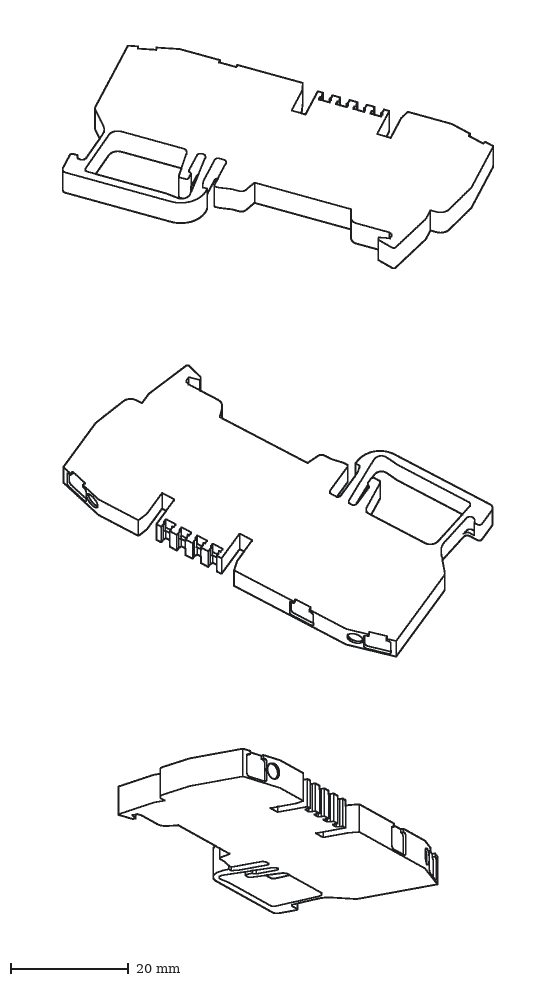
import cadquery as cq
import math

LENGTH = 66.6
HEIGHT = 34.2
THICKNESS = 5.0

SHOULDER_RUN = 8.5
SHOULDER_DROP = 2.4
SHOULDER_Y = HEIGHT - SHOULDER_DROP
SHOULDER_ANGLE = math.degrees(math.atan2(SHOULDER_DROP, SHOULDER_RUN))

COMB_LEFT = 34.0
COMB_RIGHT = 47.1
COMB_TOP = 33.3
COMB_SLOT_FLOOR = 27.45
SLOT_LEFT = 31.5
SLOT_RIGHT = 49.55
SLOT_FLARE = 0.5
SLOT_FLARE_Y = 32.4
GAP_COUNT = 4
GAP_PITCH = 3.1
GAP_WIDTH = 1.65
GAP_FLOOR_WIDTH = 1.25
GAP_CHAMFER = 0.5
GAP_FLOOR = 32.2
LEDGE_WIDTH = 2
LEDGE_FLOOR = 31.6
LEDGE_TOP = 32.25
LEDGE_DEPTH = 2.65

POCKET_LENGTH = 4.8
POCKET_DEPTH = 0.5
POCKET_BOTTOM = 0.3
POCKET_TOP = 4.4
POCKET_CORNER = 0.6
POCKET_MOUTH = 3.1
POCKET_FROM_END = 3.2
FLAT_POCKET_X = 17.45

DIMPLE_DIAMETER = 2.8
DIMPLE_FROM_END = 7.0
DIMPLE_DEPTH = 0.4
DIMPLE_Z = 2.65

FOOT_TOP = 4.6
WINDOW_TOP = 12.45
WINDOW_FLOOR = 1.5
FOOT_ROUND = 4.65
FOOT_RIGHT = 24.7
CLIP_TIP = 5.05
CLIP_SLOT_LEFT = 23.45
CLIP_SLOT_RIGHT = 25.5
FINGER_TIP = 5.85
FINGER_RIGHT = 20.25
FINGER_BARB = 20.85
FINGER_ROUND = 0.4
STRUT_TOP_X = 3.6
STRUT_FOOT_X = 2.85
RELIEF_RADIUS = 0.8
RELIEF_X = STRUT_FOOT_X - RELIEF_RADIUS
WEB_THICKNESS = 1.0
WEB_RADIUS = 0.8

RAIL_SEAT = 6.45
RAIL_RECESS = 9.25
RECESS_LEFT = 31.7
RECESS_RIGHT = 49.3
RECESS_SLANT = 1.0
LAND_BOTTOM = 6
HOOK_TIP = 56.1
HOOK_THROAT = 57.95
HOOK_BACK = 62.0
END_FLOOR = 13.85


def rounded_plate(corners, thickness):
    """Extrude a closed outline of (x, y, radius) corners upwards from Z = 0."""
    points = [cq.Vector(x, y) for x, y, _ in corners]
    path = None
    for i, (_, _, radius) in enumerate(corners):
        corner = points[i]
        to_last = (points[i - 1] - corner).normalized()
        to_next = (points[(i + 1) % len(points)] - corner).normalized()
        stops = [corner]
        if radius > 0:
            half_angle = to_last.getAngle(to_next) / 2
            setback = radius / math.tan(half_angle)
            bisector = (to_last + to_next).normalized()
            middle = corner + bisector * (radius / math.sin(half_angle) - radius)
            stops = [corner + to_last * setback, middle, corner + to_next * setback]
        if path is None:
            path = cq.Workplane("XY").moveTo(stops[0].x, stops[0].y)
        else:
            path = path.lineTo(stops[0].x, stops[0].y)
        if radius > 0:
            path = path.threePointArc(stops[1].toTuple()[:2], stops[2].toTuple()[:2])
    return path.close().extrude(thickness)


def body(strut_radius, thickness):
    """Plate from its outer outline, anticlockwise from the foot's lower left corner."""
    return rounded_plate([
        (0, 0, 0.85),
        (FOOT_RIGHT, 0, FOOT_ROUND),
        (FOOT_RIGHT, CLIP_TIP, 0),
        (23.85, CLIP_TIP, 0),
        (CLIP_SLOT_LEFT, 6.4, 0),
        (CLIP_SLOT_LEFT, WINDOW_TOP, 0.6),
        (CLIP_SLOT_RIGHT, WINDOW_TOP, 0.6),
        (CLIP_SLOT_RIGHT, LAND_BOTTOM, 0.3),
        (26.45, LAND_BOTTOM, 0),
        (28.7, RAIL_SEAT, 0),
        (RECESS_LEFT - RECESS_SLANT, RAIL_SEAT, 1.0),
        (RECESS_LEFT, RAIL_RECESS, 0),
        (RECESS_RIGHT, RAIL_RECESS, 0),
        (RECESS_RIGHT + RECESS_SLANT, RAIL_SEAT, 1.5),
        (57.3, RAIL_SEAT, 0),
        (HOOK_THROAT, 6.1, 0),
        (HOOK_THROAT, 5.2, 0),
        (HOOK_TIP, 4.7, 0),
        (HOOK_TIP, 4.2, 0.3),
        (59.5, 3.1, 0.4),
        (HOOK_BACK, 11.65, 0),
        (HOOK_BACK, END_FLOOR, 0),
        (64.55, END_FLOOR, 1.85),
        (LENGTH, 21.4, 0),
        (LENGTH, SHOULDER_Y, 0),
        (LENGTH - SHOULDER_RUN, HEIGHT, 0),
        (SLOT_RIGHT + SLOT_FLARE, HEIGHT, 0),
        (SLOT_RIGHT, SLOT_FLARE_Y, 0),
        (SLOT_RIGHT, COMB_SLOT_FLOOR, 0),
        (COMB_RIGHT, COMB_SLOT_FLOOR, 0),
        (COMB_RIGHT, COMB_TOP, 0),
        (COMB_LEFT, COMB_TOP, 0),
        (COMB_LEFT, COMB_SLOT_FLOOR, 0),
        (SLOT_LEFT, COMB_SLOT_FLOOR, 0),
        (SLOT_LEFT, SLOT_FLARE_Y, 0),
        (SLOT_LEFT - SLOT_FLARE, HEIGHT, 0),
        (SHOULDER_RUN, HEIGHT, 0),
        (0, SHOULDER_Y, 0),
        (0, 16, 1.0),
        (STRUT_TOP_X, 11.8, 2.8),
        (STRUT_FOOT_X, FOOT_TOP, strut_radius),
        (0, FOOT_TOP, 0.5),
    ], thickness)


def window():
    """Opening in the foot, including the narrow slot behind the spring finger."""
    return rounded_plate([
        (3.6, WINDOW_FLOOR, 0.6),
        (18.5, WINDOW_FLOOR, 0),
        (22.6, 1.0, 1.45),
        (21.7, WINDOW_TOP, 0.65),
        (FINGER_RIGHT, WINDOW_TOP, 0.65),
        (FINGER_RIGHT, 7.85, 0),
        (FINGER_BARB, 7.4, 0),
        (FINGER_BARB, FINGER_TIP, FINGER_ROUND),
        (19.1, FINGER_TIP, FINGER_ROUND),
        (18.3, WINDOW_TOP, 0.9),
        (4.65, WINDOW_TOP, 1.7),
    ], THICKNESS)


def foot_relief():
    """Round groove in the foot beside the strut, stopping above the corner web."""
    return (
        cq.Workplane("XY", origin=(RELIEF_X, FOOT_TOP, WEB_THICKNESS))
        .circle(RELIEF_RADIUS)
        .extrude(THICKNESS - WEB_THICKNESS)
    )


def comb_gap(x):
    """One gap of the comb: a chamfered notch with a wider ledge near the upper face."""
    half_top = GAP_WIDTH / 2
    half_floor = GAP_FLOOR_WIDTH / 2
    notch = (
        cq.Workplane("XY", origin=(x, 0, 0))
        .moveTo(-half_floor, GAP_FLOOR)
        .lineTo(half_floor, GAP_FLOOR)
        .lineTo(half_top, GAP_FLOOR + GAP_CHAMFER)
        .lineTo(half_top, COMB_TOP)
        .lineTo(-half_top, COMB_TOP)
        .lineTo(-half_top, GAP_FLOOR + GAP_CHAMFER)
        .close()
        .extrude(THICKNESS)
    )
    ledge = (
        cq.Workplane("XY", origin=(x, (LEDGE_FLOOR + LEDGE_TOP) / 2, THICKNESS - LEDGE_DEPTH))
        .rect(LEDGE_WIDTH, LEDGE_TOP - LEDGE_FLOOR)
        .extrude(LEDGE_DEPTH)
    )
    return notch.union(ledge)


def place_on_edge(tool, x, y, angle):
    """Move a tool from the origin, where it cuts towards -Y, onto the top edge."""
    return tool.rotate((0, 0, 0), (0, 0, 1), angle).translate((x, y, 0))


def marker_pocket():
    """Rounded shallow pocket with a narrower mouth through the upper face."""
    pocket_height = POCKET_TOP - POCKET_BOTTOM
    pocket = (
        cq.Workplane("XY", origin=(0, 0, POCKET_BOTTOM))
        .rect(POCKET_LENGTH, 2 * POCKET_DEPTH)
        .extrude(pocket_height)
        .edges("|Y")
        .fillet(POCKET_CORNER)
    )
    mouth_start = POCKET_BOTTOM + pocket_height / 2
    mouth = (
        cq.Workplane("XY", origin=(0, 0, mouth_start))
        .rect(POCKET_MOUTH, 2 * POCKET_DEPTH)
        .extrude(THICKNESS - mouth_start)
    )
    return pocket.union(mouth)


def shoulder_dimple():
    """Shallow round dimple, square to the edge it is placed on."""
    return (
        cq.Workplane("XZ", origin=(0, 0, DIMPLE_Z))
        .circle(DIMPLE_DIAMETER / 2)
        .extrude(DIMPLE_DEPTH, both=True)
    )


def shoulder_y(from_end):
    """Height of a shoulder at a distance along X from the plate end."""
    return SHOULDER_Y + from_end * SHOULDER_DROP / SHOULDER_RUN


result = body(0, THICKNESS).union(body(WEB_RADIUS, WEB_THICKNESS))
result = result.cut(window()).cut(foot_relief())

comb_centre = (COMB_LEFT + COMB_RIGHT) / 2
for i in range(GAP_COUNT):
    result = result.cut(comb_gap(comb_centre + (i - (GAP_COUNT - 1) / 2) * GAP_PITCH))

result = result.cut(place_on_edge(marker_pocket(), FLAT_POCKET_X, HEIGHT, 0))
for tool, from_end in ((marker_pocket(), POCKET_FROM_END), (shoulder_dimple(), DIMPLE_FROM_END)):
    edge_y = shoulder_y(from_end)
    result = result.cut(place_on_edge(tool, from_end, edge_y, SHOULDER_ANGLE))
    result = result.cut(place_on_edge(tool, LENGTH - from_end, edge_y, -SHOULDER_ANGLE))